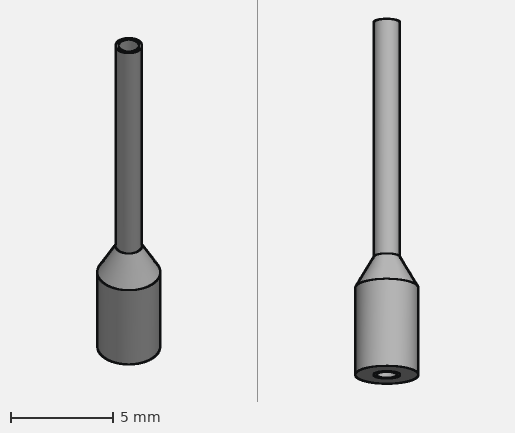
import cadquery as cq

TOTAL_LENGTH = 18.0
COLLAR_DIAMETER = 3.1
COLLAR_STRAIGHT_LENGTH = 4.45
CONE_LENGTH = 1.57
TUBE_DIAMETER = 1.3
BORE_DIAMETER = 1.0

collar_height = COLLAR_STRAIGHT_LENGTH + CONE_LENGTH
collar_radius = COLLAR_DIAMETER / 2
tube_radius = TUBE_DIAMETER / 2
bore_radius = BORE_DIAMETER / 2


def make_tube():
    """Thin-walled tube running the full length of the ferrule."""
    return cq.Workplane("XY").circle(tube_radius).circle(bore_radius).extrude(TOTAL_LENGTH)


def make_collar():
    """Insulating collar around the tube, tapering to the tube's outer surface."""
    profile = (
        cq.Workplane("XZ")
        .moveTo(tube_radius, 0)
        .lineTo(collar_radius, 0)
        .lineTo(collar_radius, COLLAR_STRAIGHT_LENGTH)
        .lineTo(tube_radius, collar_height)
        .close()
    )
    return profile.revolve(360, (0, 0, 0), (0, 1, 0))


tube = make_tube()
collar = make_collar()

result = cq.Compound.makeCompound([tube.val(), collar.val()])